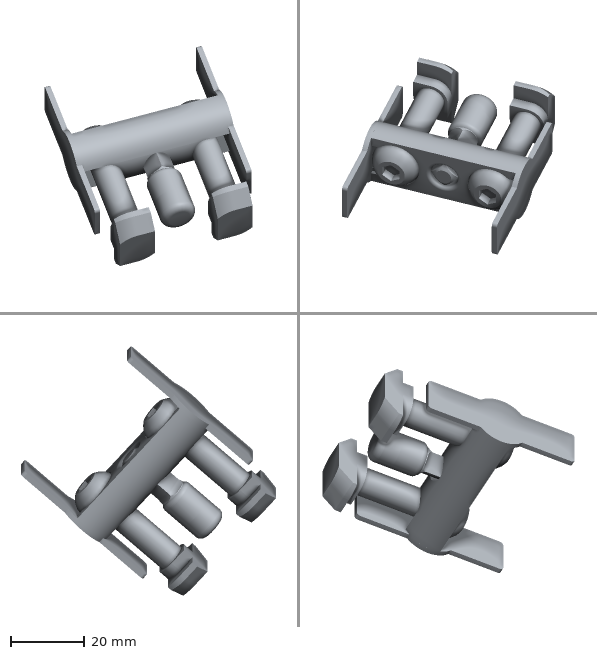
import cadquery as cq
import math


bar_radius = 8.5
bar_half_length = 21.0
bar_flat_x = -3.1
bore_radius = 4.0
rim_fillet = 1.0
slot_mouth_half_height = 5.05

cap_thickness = 1.5
cap_half_length = 22.35
cap_half_height = 5.7
cap_corner_radius = 1.0

bolt_spacing = 28.0
head_radius = 7.0
head_face_radius = 4.0
head_mid_radius = 6.1
head_mid_x = -4.5
head_face_x = -6.45
head_seat_depth = 1.0
socket_across_flats = 5.0
socket_depth = 2.5

collar_x = 25.2
collar_radius = 5.0
hammer_x = 28.3
hammer_end_x = 33.95
hammer_half_length = 9.8
hammer_chamfer = 3.8

pin_start_radius = 2.25
pin_bevel_length = 1.25
neck_radius = 4.15
flare_radius = 1.6
knob_x = 13.1
knob_radius = 5.0
knob_rim_radius = 1.6
tip_x = 21.3
tip_end_x = 27.85
tip_fillet = 1.95

bolt_y = bolt_spacing / 2
head_seat_x = bar_flat_x + head_seat_depth
square_side = bore_radius * math.sqrt(2)


def x_cylinder(radius, start_x, end_x, y=0):
    """Round bar along X."""
    return cq.Workplane("YZ", origin=(start_x, y, 0)).circle(radius).extrude(end_x - start_x)


def revolve_about_x(profile):
    """Turn a closed profile, drawn with X along and Y as the radius, about the X axis."""
    return profile.close().revolve(360, (0, 0), (1, 0))


def x_box(start_x, end_x, start_y, end_y, start_z, end_z):
    """Block given by its limits along the three axes."""
    size = (end_x - start_x, end_y - start_y, end_z - start_z)
    return cq.Workplane("XY").box(*size, centered=False).translate((start_x, start_y, start_z))


def make_crossbar():
    bar = cq.Workplane("XZ").circle(bar_radius).extrude(bar_half_length, both=True)
    bar = bar.intersect(
        x_box(bar_flat_x, bar_radius, -bar_half_length, bar_half_length, -bar_radius, bar_radius)
    )
    bar = bar.cut(x_cylinder(bore_radius, bar_flat_x, bar_radius))
    bar = bar.faces("<X").edges("%CIRCLE").fillet(rim_fillet)
    for side in (-1, 1):
        y = side * bolt_y
        slot_ends = sorted((y, side * bar_half_length))
        bar = bar.cut(x_cylinder(bore_radius, bar_flat_x, bar_radius, y))
        bar = bar.cut(x_box(bar_flat_x, bar_radius, *slot_ends, -bore_radius, bore_radius))
        bar = bar.cut(x_cylinder(head_radius, bar_flat_x, head_seat_x, y))
        bar = bar.cut(
            x_box(bar_flat_x, head_seat_x, *slot_ends, -slot_mouth_half_height, slot_mouth_half_height)
        )
    return bar


def make_cap(side):
    plate = (
        cq.Workplane("XZ")
        .rect(2 * cap_half_length, 2 * cap_half_height)
        .extrude(cap_thickness)
        .edges("|Y")
        .fillet(cap_corner_radius)
    )
    plate = plate.union(cq.Workplane("XZ").circle(bar_radius).extrude(cap_thickness))
    inner_y = bar_half_length if side < 0 else bar_half_length + cap_thickness
    return plate.translate((0, side * inner_y, 0))


def make_head():
    return revolve_about_x(
        cq.Workplane("XY")
        .moveTo(head_seat_x, 0)
        .lineTo(head_face_x, 0)
        .lineTo(head_face_x, head_face_radius)
        .threePointArc((head_mid_x, head_mid_radius), (head_seat_x, head_radius))
    )


def make_socket():
    across_corners = socket_across_flats / math.cos(math.radians(30))
    return (
        cq.Workplane("YZ", origin=(head_face_x, 0, 0))
        .transformed(rotate=(0, 0, 90))
        .polygon(6, across_corners)
        .extrude(socket_depth)
    )


def make_hammer_half():
    """Upper half of the hammer: square towards +Y, rounded towards -Y."""
    chamfer_x = hammer_end_x - hammer_chamfer
    square_side_part = (
        cq.Workplane("XZ")
        .moveTo(hammer_x, 0)
        .lineTo(hammer_x, hammer_half_length)
        .lineTo(chamfer_x, hammer_half_length)
        .lineTo(hammer_end_x, hammer_half_length - hammer_chamfer)
        .lineTo(hammer_end_x, 0)
        .close()
        .extrude(-collar_radius)
    )
    rounded_side_part = square_side_part.mirror("XZ")

    swing = x_cylinder(hammer_half_length, hammer_x, hammer_end_x)
    axis_drop = hammer_half_length / math.sqrt(2)
    axis_point = cq.Vector(chamfer_x - axis_drop, 0, hammer_half_length - axis_drop)
    slope = cq.Vector(1, 0, -1).normalized()
    reach = 2 * hammer_half_length
    chamfer_rounding = cq.Workplane(
        cq.Solid.makeCylinder(hammer_half_length, 2 * reach, axis_point - slope * reach, slope)
    )
    return square_side_part.union(rounded_side_part.intersect(swing).intersect(chamfer_rounding))


def make_collar():
    collar = x_cylinder(collar_radius, collar_x, hammer_x)
    collar = collar.union(x_box(collar_x, hammer_x, 0, collar_radius, 0, collar_radius))
    return collar.union(x_box(collar_x, hammer_x, -collar_radius, 0, -collar_radius, 0))


def make_bolt(side):
    hammer_half = make_hammer_half()
    bolt = make_head().union(x_cylinder(bore_radius, head_seat_x, collar_x)).cut(make_socket())
    bolt = bolt.union(make_collar()).union(hammer_half)
    bolt = bolt.union(hammer_half.rotate((0, 0, 0), (1, 0, 0), 180))
    return bolt.translate((0, side * bolt_y, 0))


def make_flared_slab():
    """Slab as thick as the square shank, widened by hollow roundings next to the knob."""
    flare_x = knob_x - flare_radius
    half_side = square_side / 2
    flared_half = half_side + flare_radius
    arc_offset = flare_radius * math.sqrt(0.5)
    arc_middle_x = flare_x + arc_offset
    arc_middle_half = flared_half - arc_offset
    return (
        cq.Workplane("XY")
        .moveTo(bar_flat_x, -half_side)
        .lineTo(flare_x, -half_side)
        .threePointArc((arc_middle_x, -arc_middle_half), (knob_x, -flared_half))
        .lineTo(knob_x, flared_half)
        .threePointArc((arc_middle_x, arc_middle_half), (flare_x, half_side))
        .lineTo(bar_flat_x, half_side)
        .close()
        .extrude(flared_half, both=True)
    )


def make_pin():
    slab = make_flared_slab()
    axis = ((0, 0, 0), (1, 0, 0))
    shank = slab.rotate(*axis, 45).intersect(slab.rotate(*axis, -45))
    envelope = revolve_about_x(
        cq.Workplane("XY")
        .moveTo(bar_flat_x, 0)
        .lineTo(bar_flat_x, pin_start_radius)
        .lineTo(bar_flat_x + pin_bevel_length, neck_radius)
        .lineTo(knob_x, neck_radius)
        .lineTo(knob_x, 0)
    )
    knob = x_cylinder(knob_radius, knob_x, tip_x).faces("<X").edges().fillet(knob_rim_radius)
    neck_root = x_cylinder(neck_radius, knob_x, knob_x + knob_rim_radius)
    return shank.intersect(envelope).union(neck_root).union(knob)


def make_pin_tip():
    return x_cylinder(knob_radius, tip_x, tip_end_x).faces(">X").edges().fillet(tip_fillet)


crossbar = make_crossbar()
caps = [make_cap(side) for side in (-1, 1)]
bolts = [make_bolt(side) for side in (-1, 1)]
pin = make_pin()
pin_tip = make_pin_tip()

bodies = [crossbar, *caps, *bolts, pin, pin_tip]
result = cq.Compound.makeCompound([body.solids().val() for body in bodies])